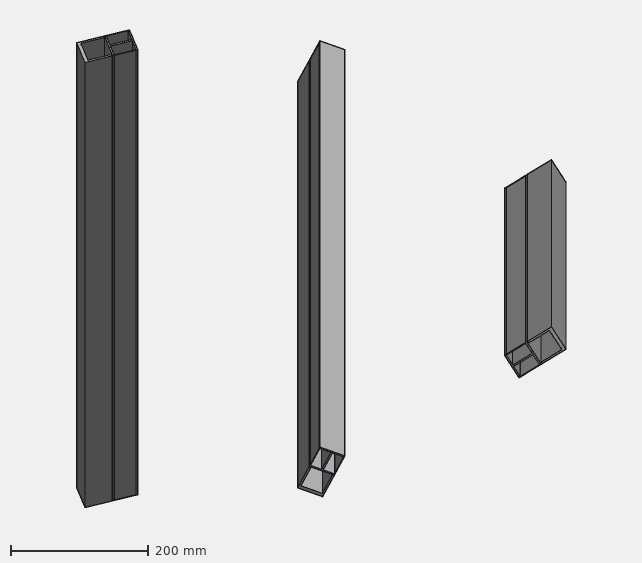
import cadquery as cq

LENGTH = 1000.0
WIDTH = 40.0
DEPTH = 81.0

CAVITY_DEPTH = 36.0
CHANNEL_LEG = 3.0
CHANNEL_BASE = 5.5

GAP = 1.0
FLANGE = 2.5
WEB = 2.5
SHEET = 1.0

FRONT_Y = -DEPTH / 2
BACK_Y = DEPTH / 2
CAVITY_START_Y = FRONT_Y + CHANNEL_BASE
CHANNEL_END_Y = CAVITY_START_Y + CAVITY_DEPTH
PROFILE_START_Y = CHANNEL_END_Y + GAP
CELL_START_Y = PROFILE_START_Y + FLANGE
CELL_END_Y = BACK_Y - FLANGE


def bar(center_x, width, start_y, end_y):
    """Full-length rectangular bar, centred on Z = 0."""
    return (
        cq.Workplane("XY")
        .box(width, end_y - start_y, LENGTH)
        .translate((center_x, (start_y + end_y) / 2, 0))
    )


def make_channel():
    """U-shaped channel with a thick base on -Y and its open side toward +Y."""
    outer = bar(0, WIDTH, FRONT_Y, CHANNEL_END_Y)
    cavity = bar(0, WIDTH - 2 * CHANNEL_LEG, CAVITY_START_Y, CHANNEL_END_Y)
    return outer.cut(cavity)


def make_i_profile():
    """Two full-width flanges joined by a central web."""
    inner_flange = bar(0, WIDTH, PROFILE_START_Y, CELL_START_Y)
    outer_flange = bar(0, WIDTH, CELL_END_Y, BACK_Y)
    web = bar(0, WEB, CELL_START_Y, CELL_END_Y)
    return inner_flange.union(web).union(outer_flange)


def make_side_sheet(side):
    """Thin sheet closing one side of the I-profile, flush with the flange ends."""
    return bar(side * (WIDTH - SHEET) / 2, SHEET, CELL_START_Y, CELL_END_Y)


channel = make_channel()
i_profile = make_i_profile()
side_sheets = [make_side_sheet(side) for side in (-1, 1)]

result = cq.Compound.makeCompound(
    [channel.val(), i_profile.val(), *[sheet.val() for sheet in side_sheets]]
)